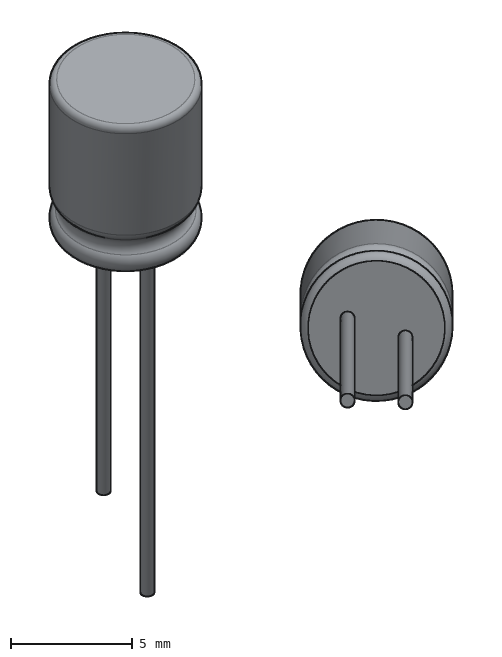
import cadquery as cq

can_diameter = 6.3
can_height = 8.0
top_fillet = 0.3

foot_inset = 0.32
bead_height = 0.5
joint_inset = 0.25
neck_inset = 0.43
neck_height = 1.35
neck_half_width = 0.4
shoulder_height = 2.21
shoulder_bulge_inset = 0.08
shoulder_bulge_height = 1.95

overall_height = 27
lead_diameter = 0.6
lead_pitch = 2.5
short_lead_length = 15.0
long_lead_length = overall_height - can_height


def make_can():
    """Revolve the half outline of the crimped can about Z."""
    radius = can_diameter / 2
    joint_radius = radius - joint_inset
    can = (
        cq.Workplane("XZ")
        .lineTo(radius - foot_inset, 0)
        .threePointArc((radius, bead_height), (joint_radius, neck_height - neck_half_width))
        .threePointArc(
            (radius - neck_inset, neck_height),
            (joint_radius, neck_height + neck_half_width),
        )
        .threePointArc(
            (radius - shoulder_bulge_inset, shoulder_bulge_height),
            (radius, shoulder_height),
        )
        .lineTo(radius, can_height)
        .lineTo(0, can_height)
        .close()
        .revolve(360, (0, 0), (0, 1))
    )
    return can.faces(">Z").edges().fillet(top_fillet)


def make_lead(x, length):
    """Wire hanging down from the bottom face of the can."""
    return cq.Workplane("XY").center(x, 0).circle(lead_diameter / 2).extrude(-length)


can = make_can()
lead_layout = [
    (-lead_pitch / 2, short_lead_length),
    (lead_pitch / 2, long_lead_length),
]
leads = [make_lead(x, length) for x, length in lead_layout]

result = cq.Compound.makeCompound([can.val(), *[lead.val() for lead in leads]])